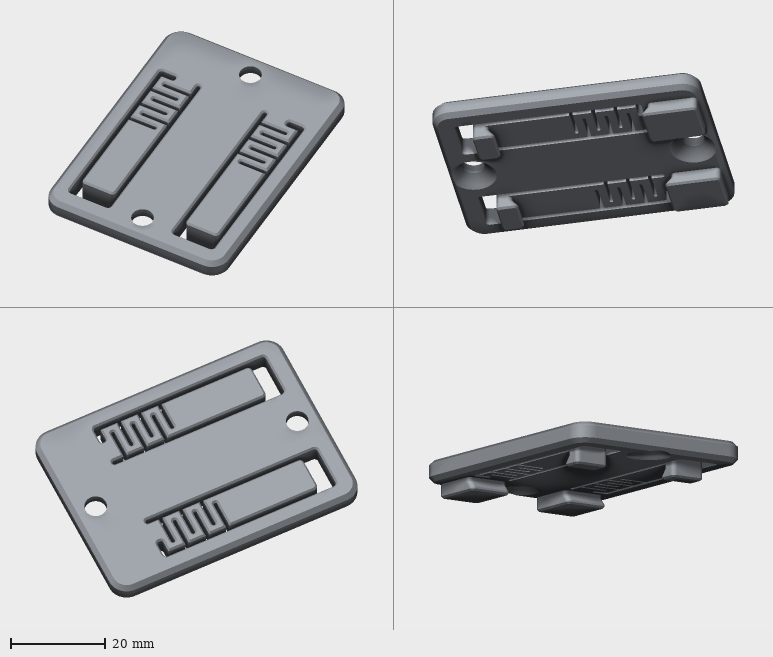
import cadquery as cq

PLATE_WIDTH = 43.0
PLATE_LENGTH = 58.0
PLATE_THICKNESS = 4.6
TOTAL_HEIGHT = 7.6
PLATE_CORNER_RADIUS = 4.0
PLATE_CHAMFER = 1.0

SCREW_HOLE_DIAMETER = 4.8
SCREW_HOLE_Y = 23.8
COUNTERSINK_DIAMETER = 9.85
COUNTERSINK_ANGLE = 90

CLIP_X = 12.5
TONGUE_WIDTH = 8.0
TONGUE_END_Y = -20.75
SIDE_GAP = 1.0
OPENING_WIDTH = TONGUE_WIDTH + 2 * SIDE_GAP
OPENING_END_Y = -24.6
OPENING_CORNER_RADIUS = 0.8
EDGE_CHAMFER = 0.4

SLOT_COUNT = 6
SLOT_WIDTH = 0.8
SPRING_TOP_Y = 14.6
SPRING_BOTTOM_Y = 0.25
SLOT_PITCH = (SPRING_TOP_Y - SPRING_BOTTOM_Y) / SLOT_COUNT
SPRING_BAR = SLOT_PITCH - SLOT_WIDTH
ROOT_SLOT_WIDTH = 1.4
ROOT_SLOT_LENGTH = 4.05
ROOT_SLOT_END_RADIUS = 0.6
INNER_GAP_TOP_Y = 15.9

HOOK_DEPTH = TOTAL_HEIGHT - PLATE_THICKNESS
HOOK_CORNER_RADIUS = 1.0
HOOK_THROAT_Y = 17.3
HOOK_LIP_REACH = 1.2
HOOK_THROAT_DEPTH = 0.7
HOOK_LIP_HEIGHT = 0.8
FIXED_HOOK_END_Y = PLATE_LENGTH / 2 - PLATE_CHAMFER


def block(x_min, x_max, y_min, y_max):
    """Upright block through the full plate thickness."""
    return (
        cq.Workplane("XY")
        .box(x_max - x_min, y_max - y_min, PLATE_THICKNESS, centered=False)
        .translate((x_min, y_min, 0))
    )


def make_plate():
    return (
        cq.Workplane("XY")
        .box(PLATE_WIDTH, PLATE_LENGTH, PLATE_THICKNESS, centered=(True, True, False))
        .edges("|Z").fillet(PLATE_CORNER_RADIUS)
        .faces("<Z or >Z").edges().chamfer(PLATE_CHAMFER)
    )


def spring_slot(index):
    """One slot of the zigzag; even slots open inward (+X), odd ones outward (-X)."""
    y = SPRING_TOP_Y - SPRING_BAR - SLOT_WIDTH / 2 - index * SLOT_PITCH
    side = 1 if index % 2 == 0 else -1
    closed_end = -side * (TONGUE_WIDTH / 2 - SPRING_BAR)
    open_end = side * (TONGUE_WIDTH + SIDE_GAP) / 2
    round_center = closed_end + side * SLOT_WIDTH / 2
    x_min, x_max = sorted((round_center, open_end))
    straight = block(x_min, x_max, y - SLOT_WIDTH / 2, y + SLOT_WIDTH / 2)
    end = cq.Workplane("XY").center(round_center, y).circle(SLOT_WIDTH / 2).extrude(PLATE_THICKNESS)
    return straight.union(end)


def make_opening():
    """Cutter that frees the left tongue, centred on X = 0."""
    half_opening = OPENING_WIDTH / 2
    half_tongue = TONGUE_WIDTH / 2
    inner_gap_x = half_tongue + SIDE_GAP / 2
    inner_gap_y = INNER_GAP_TOP_Y - SIDE_GAP / 2

    frame = block(-half_opening, half_opening, OPENING_END_Y, inner_gap_y)
    frame = frame.edges("|Z and <Y").fillet(OPENING_CORNER_RADIUS)
    tongue = block(-half_tongue, half_tongue, TONGUE_END_Y, PLATE_LENGTH / 2)
    tongue = tongue.edges("|Z and <Y").fillet(HOOK_CORNER_RADIUS)
    inner_gap_end = (
        cq.Workplane("XY").center(inner_gap_x, inner_gap_y).circle(SIDE_GAP / 2).extrude(PLATE_THICKNESS)
    )
    root_slot = block(
        -half_opening, ROOT_SLOT_LENGTH - half_opening, SPRING_TOP_Y, SPRING_TOP_Y + ROOT_SLOT_WIDTH
    )
    root_slot = root_slot.edges("|Z and >X").fillet(ROOT_SLOT_END_RADIUS)
    root_slot = root_slot.edges("|Z and >Y and <X").fillet(OPENING_CORNER_RADIUS)

    opening = frame.cut(tongue).union(inner_gap_end).union(root_slot)
    for index in range(SLOT_COUNT):
        opening = opening.union(spring_slot(index))
    return opening.clean()


def make_hook(end_y, width):
    """Hook centred on X = 0; its lip points to Y = 0 and its back stands at end_y."""
    side = 1 if end_y > 0 else -1
    throat_y = side * HOOK_THROAT_Y
    lip_y = side * (HOOK_THROAT_Y - HOOK_LIP_REACH)
    profile = [
        (end_y, 0),
        (throat_y, 0),
        (throat_y, -HOOK_THROAT_DEPTH),
        (lip_y, HOOK_LIP_HEIGHT - HOOK_DEPTH),
        (lip_y, -HOOK_DEPTH),
        (end_y, -HOOK_DEPTH),
    ]
    return (
        cq.Workplane("YZ")
        .polyline(profile).close()
        .extrude(width / 2, both=True)
        .edges("not(|X or >Z or <Z)").fillet(HOOK_CORNER_RADIUS)
        .faces("<Z").edges().chamfer(EDGE_CHAMFER)
    )


def cut_screw_holes(plate):
    return (
        plate.faces("<Z").workplane(origin=(0, 0, 0))
        .pushPoints([(0, SCREW_HOLE_Y), (0, -SCREW_HOLE_Y)])
        .cskHole(SCREW_HOLE_DIAMETER, COUNTERSINK_DIAMETER, COUNTERSINK_ANGLE)
    )


left_opening = make_opening().translate((-CLIP_X, 0, 0))
left_hooks = (
    make_hook(FIXED_HOOK_END_Y, OPENING_WIDTH)
    .union(make_hook(TONGUE_END_Y, TONGUE_WIDTH))
    .translate((-CLIP_X, 0, 0))
)

plate = make_plate().cut(left_opening).cut(left_opening.mirror("YZ"))
opening_rims = plate.faces(">Z").val().innerWires()
plate = plate.newObject(opening_rims).edges().chamfer(EDGE_CHAMFER)
plate = cut_screw_holes(plate)
result = plate.union(left_hooks).union(left_hooks.mirror("YZ"))